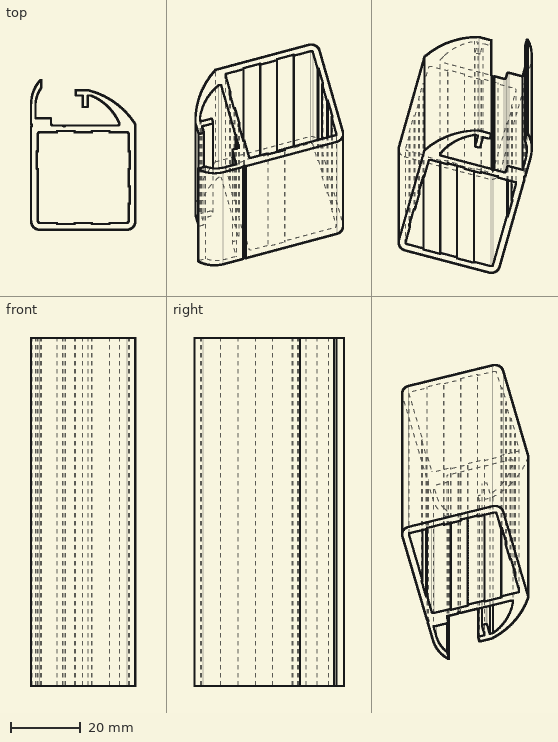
import cadquery as cq

length = 100.0
width = 30.0
tube_height = 30.0
wall = 2.0
corner_radius = 2.5
cavity_radius = 0.5

relief_width = 5.0
relief_depth = 0.3
relief_low = width / 3
relief_high = 2 * width / 3

overall_height = 43.0
lip_thickness = 1.3
lip_bend_start = 36.4
lip_inner_bend_start = 35.5
tip_left = 2.7
tip_right = 3.0
tip_bottom = 40.8
lip_outer_mid = (0.8, 40.1)
lip_inner_mid = (1.8, 38.5)
ledge_top = 32.1
ledge_right = 5.8
ledge_radius = 0.4

hook_left = 12.8
hook_top = 40.1
hook_bottom = 38.5
hook_arc_start = 16.5
hook_outer_mid = (24.7, 36.1)
hook_outer_end = 30.3
stem_left = 14.8
stem_right = 16.3
stem_bottom = 35.2
hook_edge_radius = 0.3
hook_inner_start = 17.3
hook_inner_mid = (21.8, 35.6)
hook_inner_end = (25.3, 30.7)
pocket_corner = (25.3, 30.2)
pocket_floor_end = 24.8

mark_width = 0.8
mark_depth = 0.3
side_mark_y = tube_height
web_mark_x = 9.5


def prism(sketch):
    return sketch.close().extrude(length)


def round_edge(solid, x, y, radius):
    nearest = cq.selectors.NearestToPointSelector((x, y, length / 2))
    return solid.edges(nearest).fillet(radius)


def make_body():
    outline = (
        cq.Workplane("XY")
        .moveTo(0, 0)
        .lineTo(width, 0)
        .lineTo(width, hook_outer_end)
        .threePointArc(hook_outer_mid, (hook_arc_start, hook_top))
        .lineTo(hook_left, hook_top)
        .lineTo(hook_left, hook_bottom)
        .lineTo(stem_left, hook_bottom)
        .lineTo(stem_left, stem_bottom)
        .lineTo(stem_right, stem_bottom)
        .lineTo(stem_right, hook_bottom)
        .lineTo(hook_inner_start, hook_bottom)
        .threePointArc(hook_inner_mid, hook_inner_end)
        .threePointArc(pocket_corner, (pocket_floor_end, tube_height))
        .lineTo(ledge_right, tube_height)
        .lineTo(ledge_right, ledge_top)
        .lineTo(lip_thickness, ledge_top)
        .lineTo(lip_thickness, lip_inner_bend_start)
        .threePointArc(lip_inner_mid, (tip_right, tip_bottom))
        .lineTo(tip_right, overall_height)
        .lineTo(tip_left, overall_height)
        .threePointArc(lip_outer_mid, (0, lip_bend_start))
    )
    body = prism(outline)
    for x in (0, width):
        body = round_edge(body, x, 0, corner_radius)
    for y in (tube_height, ledge_top):
        body = round_edge(body, ledge_right, y, ledge_radius)
    body = round_edge(body, hook_left, hook_bottom, hook_edge_radius)
    for x in (stem_left, stem_right):
        body = round_edge(body, x, stem_bottom, hook_edge_radius)
    return body


def make_cavity():
    inner_width = width - 2 * wall
    inner_height = tube_height - 2 * wall
    center = (width / 2, tube_height / 2)
    cavity = cq.Workplane("XY").center(*center).rect(inner_width, inner_height).extrude(length)
    cavity = cavity.edges("|Z").fillet(cavity_radius)

    def add_relief(solid, x, y, size_x, size_y):
        return solid.union(cq.Workplane("XY").center(x, y).rect(size_x, size_y).extrude(length))

    for x in (relief_low, relief_high):
        cavity = add_relief(cavity, x, center[1], relief_width, inner_height + 2 * relief_depth)
    cavity = add_relief(cavity, center[0], relief_high, inner_width + 2 * relief_depth, relief_width)

    right_strip = inner_width / 2 + relief_depth
    return add_relief(cavity, center[0] + right_strip / 2, relief_low, right_strip, relief_width)


def make_marks():
    half = mark_width / 2
    side = [(0, side_mark_y - half), (mark_depth, side_mark_y), (0, side_mark_y + half)]
    web = [
        (web_mark_x - half, tube_height),
        (web_mark_x, tube_height - mark_depth),
        (web_mark_x + half, tube_height),
    ]
    return [prism(cq.Workplane("XY").polyline(points)) for points in (side, web)]


result = make_body().cut(make_cavity())
for mark in make_marks():
    result = result.cut(mark)